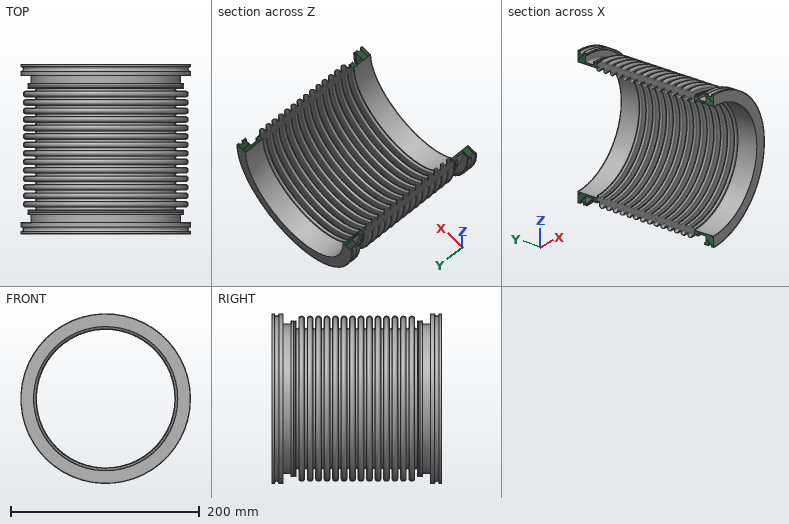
import cadquery as cq

total_length = 180.0
half_length = total_length / 2

flange_radius = 90.0
flange_thickness = 12.0
flange_back = half_length - flange_thickness
rim_groove_radius = 2.5
rim_groove_offset = 5.0
rim_groove_centre = half_length - rim_groove_offset

back_rim_width = 2.0
back_recess_depth = 1.5
back_recess_radius = flange_radius - back_rim_width
back_recess_floor = flange_back + back_recess_depth

pipe_outer_radius = 79.5
pipe_wall = 3.0
pipe_root_fillet = 0.5
pipe_bore_radius = pipe_outer_radius - pipe_wall
lip_radius = 82.5
lip_thickness = 4.5
lip_groove_radius = 0.75
lip_groove_offset = 1.25

convolution_count = 14
convolution_pitch = 9.0
bellows_wall = 0.5
crest_radius = 87.5
root_radius = 74.0

crest_outer_bend = 3.0
root_outer_bend = convolution_pitch / 2 - crest_outer_bend
crest_bend_centre = crest_radius - crest_outer_bend
root_bend_centre = root_radius + root_outer_bend

crest_inner_bend = crest_outer_bend - bellows_wall
root_inner_bend = root_outer_bend + bellows_wall

last_root = convolution_count * convolution_pitch / 2
disc_inner_face = last_root + root_outer_bend
joint_face = disc_inner_face + bellows_wall
lip_back = joint_face + lip_thickness
lip_groove_centre = joint_face + lip_groove_offset


def revolve_about_y(profile):
    return profile.close().revolve(360, (0, 0, 0), (0, 1, 0))


def trace_convolutions(profile, crest_bend, root_bend, direction):
    """Follow one side of the wall along Y (direction +1 or -1), from end disc to end disc."""
    crest_top = crest_bend_centre + crest_bend
    root_bottom = root_bend_centre - root_bend
    crest_step = direction * crest_bend
    root_step = direction * root_bend
    half_pitch = direction * convolution_pitch / 2

    def root_arc(profile, root):
        return profile.threePointArc((root_bottom, root), (root_bend_centre, root + root_step))

    root = -direction * last_root
    profile = profile.lineTo(root_bend_centre, root - root_step)
    profile = root_arc(profile, root)
    for _ in range(convolution_count):
        crest = root + half_pitch
        root = crest + half_pitch
        profile = (
            profile.lineTo(crest_bend_centre, crest - crest_step)
            .threePointArc((crest_top, crest), (crest_bend_centre, crest + crest_step))
            .lineTo(root_bend_centre, root - root_step)
        )
        profile = root_arc(profile, root)
    return profile


def add_groove(profile, surface_radius, centre, groove_radius, side):
    """Trace a semicircular groove across a cylinder, heading towards the middle of the joint."""
    bottom = (surface_radius - groove_radius, side * centre)
    profile = profile.lineTo(surface_radius, side * (centre + groove_radius))
    return profile.threePointArc(bottom, (surface_radius, side * (centre - groove_radius)))


def make_bellows():
    profile = cq.Workplane("XY").moveTo(lip_radius, -disc_inner_face)
    profile = trace_convolutions(profile, crest_outer_bend, root_outer_bend, 1)
    profile = profile.lineTo(lip_radius, disc_inner_face)
    profile = profile.lineTo(lip_radius, joint_face)
    profile = trace_convolutions(profile, crest_inner_bend, root_inner_bend, -1)
    profile = profile.lineTo(lip_radius, -joint_face)
    return revolve_about_y(profile)


def make_flange(side):
    """Flange, pipe stub and lip as one turned body at the +Y (side 1) or -Y (side -1) end."""
    fillet_end = back_recess_floor - pipe_root_fillet
    profile = (
        cq.Workplane("XY")
        .moveTo(pipe_bore_radius, side * joint_face)
        .lineTo(pipe_bore_radius, side * half_length)
        .lineTo(flange_radius, side * half_length)
    )
    profile = add_groove(profile, flange_radius, rim_groove_centre, rim_groove_radius, side)
    profile = (
        profile.lineTo(flange_radius, side * flange_back)
        .lineTo(back_recess_radius, side * flange_back)
        .lineTo(back_recess_radius, side * back_recess_floor)
        .lineTo(pipe_outer_radius + pipe_root_fillet, side * back_recess_floor)
        .radiusArc((pipe_outer_radius, side * fillet_end), -side * pipe_root_fillet)
        .lineTo(pipe_outer_radius, side * lip_back)
        .lineTo(lip_radius, side * lip_back)
    )
    profile = add_groove(profile, lip_radius, lip_groove_centre, lip_groove_radius, side)
    profile = profile.lineTo(lip_radius, side * joint_face)
    return revolve_about_y(profile)


bellows = make_bellows()
flanges = [make_flange(side) for side in (-1, 1)]

result = cq.Compound.makeCompound([bellows.val(), *[flange.val() for flange in flanges]])